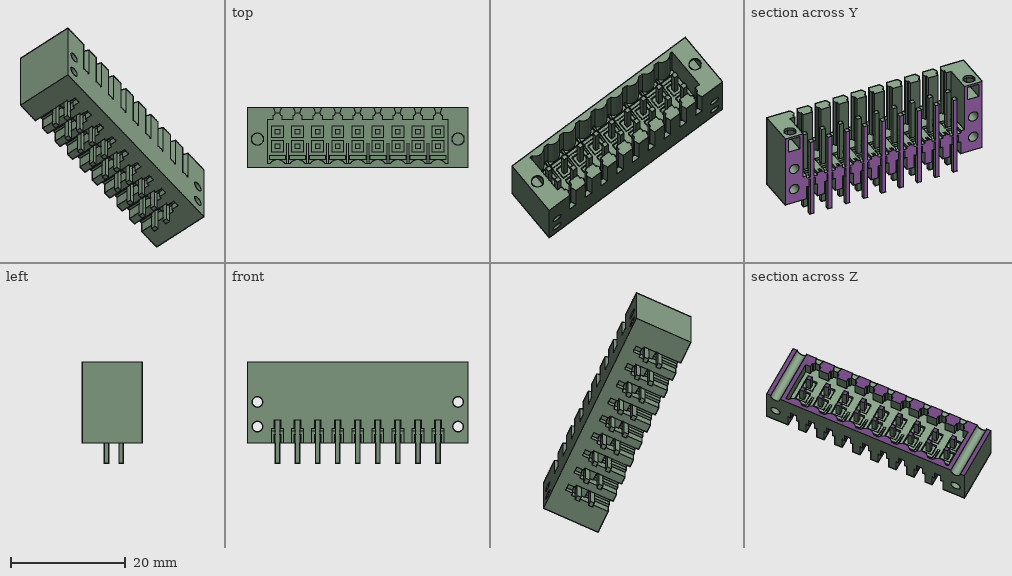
import cadquery as cq
import math


pole_count = 9
pitch = 3.5
end_block = 3.5
body_x = pole_count * pitch + 2 * end_block
body_y = 10.5
body_z = 14.2
front_y = -body_y / 2
rear_y = body_y / 2

cavity_x = pole_count * pitch
front_wall = 0.7
rear_wall = 2.1
floor_z = 5.0
cavity_front_y = front_y + front_wall
cavity_rear_y = rear_y - rear_wall
cavity_z = body_z - floor_z

pin_width = 0.8
pin_row_pitch = 2.54
pin_mid_y = -0.27
pin_rows_y = [pin_mid_y - pin_row_pitch / 2, pin_mid_y + pin_row_pitch / 2]
pin_top_z = 11.9
pin_tail = 3.5

recess_depth = 0.5
pin_recess = 2.05
bar_recess_x = 2.8
bar_recess_y = 0.7
bar_recess_mid_y = -3.45

bulge_width = 2.6
bulge_height = 0.7

rib_thickness = 0.35
rib_rear_y = -1.05
rib_slope = math.radians(15)

slot_mouth = 1.62
slot_taper_end = 1.2
slot_neck = 0.75
slot_outside = 1.4
slot_shoulder_depth = 1.4
slot_neck_depth = 0.93
slot_outer_step = 2.0
slot_shoulder_y = rear_y - slot_shoulder_depth
slot_neck_y = rear_y - slot_neck_depth
slot_outer_floor_z = floor_z + slot_outer_step

notch_width = 2.05
notch_stem_width = 1.15
notch_shoulder_z = 2.55
notch_top_z = 4.05
notch_end_y = pin_rows_y[0] + pin_width
notch_step_z = 2.1
notch_step_end_y = pin_rows_y[1] + pin_width
notch_tunnel_z = 1.5
notch_tunnel_end_y = cavity_rear_y

hole_x = body_x / 2 - end_block / 2
cross_hole_diameter = 1.8
cross_hole_heights = [2.9, 7.2]
top_hole_diameter = 2.1
top_hole_lip = 0.5
nut_pocket_y = 6.0
nut_pocket_z = 2.5

pole_xs = [(i - (pole_count - 1) / 2) * pitch for i in range(pole_count)]
rib_xs = [x + pitch / 2 for x in pole_xs[:-1]]


def block(size_x, y_range, z_range):
    """Box centred on X = 0 that fills the given Y and Z ranges."""
    size_y = y_range[1] - y_range[0]
    size_z = z_range[1] - z_range[0]
    box = cq.Workplane("XY").box(size_x, size_y, size_z, centered=(True, False, False))
    return box.translate((0, y_range[0], z_range[0]))


def add_all(part, tool, xs):
    """Fuse a copy of the tool at each X position."""
    for x in xs:
        part = part.union(tool.translate((x, 0, 0)))
    return part


def cut_all(part, tool, xs):
    """Cut a copy of the tool at each X position."""
    for x in xs:
        part = part.cut(tool.translate((x, 0, 0)))
    return part


def shrouded_body():
    body = block(body_x, (front_y, rear_y), (0, body_z))
    return body.cut(block(cavity_x, (cavity_front_y, cavity_rear_y), (floor_z, body_z)))


def wall_bulge():
    """Segment of a cylinder standing on the inside of the front wall."""
    return (
        cq.Workplane("XY", origin=(0, cavity_front_y, floor_z))
        .moveTo(-bulge_width / 2, 0)
        .threePointArc((0, bulge_height), (bulge_width / 2, 0))
        .close()
        .extrude(cavity_z)
    )


def rib():
    """Wedge that falls from the front wall to the cavity floor."""
    rib_height = (rib_rear_y - cavity_front_y) * math.tan(rib_slope)
    return (
        cq.Workplane("YZ", origin=(-rib_thickness / 2, 0, 0))
        .polyline([
            (cavity_front_y, floor_z),
            (rib_rear_y, floor_z),
            (cavity_front_y, floor_z + rib_height),
        ])
        .close()
        .extrude(rib_thickness)
    )


def keyed_slot():
    """Slot that narrows to a neck and flares again towards the rear face."""
    inner = (
        cq.Workplane("XY", origin=(0, 0, floor_z))
        .polyline([
            (-slot_mouth / 2, cavity_rear_y),
            (-slot_mouth / 2, slot_shoulder_y),
            (-slot_taper_end / 2, slot_shoulder_y),
            (-slot_neck / 2, slot_neck_y),
            (slot_neck / 2, slot_neck_y),
            (slot_taper_end / 2, slot_shoulder_y),
            (slot_mouth / 2, slot_shoulder_y),
            (slot_mouth / 2, cavity_rear_y),
        ])
        .close()
        .extrude(cavity_z)
    )
    outer = (
        cq.Workplane("XY", origin=(0, 0, slot_outer_floor_z))
        .polyline([
            (-slot_neck / 2, slot_neck_y),
            (-slot_outside / 2, rear_y),
            (slot_outside / 2, rear_y),
            (slot_neck / 2, slot_neck_y),
        ])
        .close()
        .extrude(body_z - slot_outer_floor_z)
    )
    return inner.union(outer)


def floor_recesses():
    """Square recess around each pin of a pole and a bar recess in front of them."""
    depth_range = (floor_z - recess_depth, floor_z)
    bar_range = (bar_recess_mid_y - bar_recess_y / 2, bar_recess_mid_y + bar_recess_y / 2)
    recesses = block(bar_recess_x, bar_range, depth_range)
    for y in pin_rows_y:
        square_range = (y - pin_recess / 2, y + pin_recess / 2)
        recesses = recesses.union(block(pin_recess, square_range, depth_range))
    return recesses


def solder_notch():
    """T-shaped notch that steps down into a low tunnel behind the front pin."""
    notch = block(notch_width, (front_y, notch_end_y), (0, notch_shoulder_z))
    notch = notch.union(block(notch_stem_width, (front_y, notch_end_y), (0, notch_top_z)))
    notch = notch.union(block(notch_width, (front_y, notch_step_end_y), (0, notch_step_z)))
    return notch.union(block(notch_stem_width, (front_y, notch_tunnel_end_y), (0, notch_tunnel_z)))


def pin_pair():
    """One pin of each row at a pole."""
    pins = cq.Workplane("XY")
    for y in pin_rows_y:
        pin_range = (y - pin_width / 2, y + pin_width / 2)
        pins = pins.union(block(pin_width, pin_range, (-pin_tail, pin_top_z)))
    return pins


def end_holes():
    """Two cross holes and one top hole over an enclosed nut pocket."""
    holes = (
        cq.Workplane("XZ", origin=(0, rear_y, 0))
        .pushPoints([(0, z) for z in cross_hole_heights])
        .circle(cross_hole_diameter / 2)
        .extrude(body_y)
    )
    lip_z = body_z - top_hole_lip
    top_hole = (
        cq.Workplane("XY", origin=(0, pin_mid_y, lip_z))
        .circle(top_hole_diameter / 2)
        .extrude(top_hole_lip)
    )
    pocket_range = (pin_mid_y - nut_pocket_y / 2, pin_mid_y + nut_pocket_y / 2)
    nut_pocket = block(top_hole_diameter, pocket_range, (lip_z - nut_pocket_z, lip_z))
    return holes.union(top_hole).union(nut_pocket)


housing = shrouded_body()
housing = add_all(housing, wall_bulge(), pole_xs)
housing = cut_all(housing, floor_recesses(), pole_xs)
housing = add_all(housing, rib(), rib_xs)
housing = cut_all(housing, keyed_slot(), pole_xs)
housing = cut_all(housing, solder_notch(), pole_xs)
housing = cut_all(housing, end_holes(), [-hole_x, hole_x])
result = add_all(housing, pin_pair(), pole_xs)